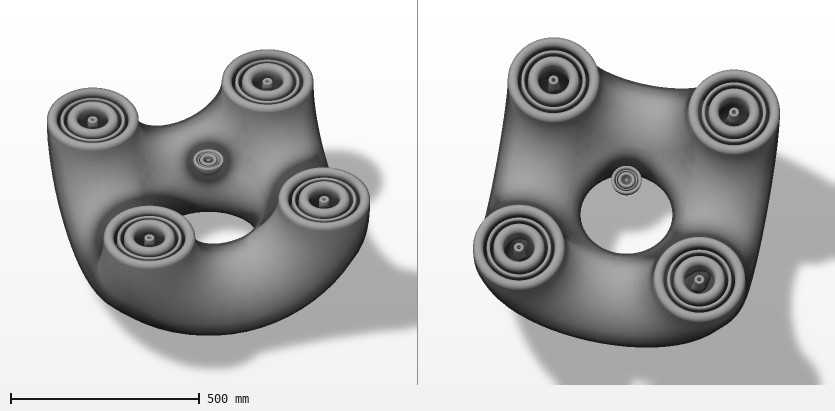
import cadquery as cq
import math


RING_RADIUS = 243.0
SPHERE_RADIUS = RING_RADIUS * math.sqrt(2)
BOWL_SCALE = 1 / 3
LEG_COUNT = 4
LEG_PITCH = 360 / LEG_COUNT
SEWING_TOLERANCE = 1e-3

THICK_WALL = RING_RADIUS / 9
THIN_WALL = THICK_WALL / 3
WIRE_RADIUS = THIN_WALL / 6

OUTER_SKIN = (4 * THICK_WALL, THICK_WALL)
LINER_SKIN = (3 * THICK_WALL, THIN_WALL)
INNER_SKIN = (2 * THICK_WALL, THICK_WALL)
CORE_SKIN = (THIN_WALL, THIN_WALL)
SKINS = (OUTER_SKIN, LINER_SKIN, INNER_SKIN, CORE_SKIN)

COS_45 = math.sqrt(0.5)
ORIGIN = cq.Vector(0, 0, 0)
X_AXIS = cq.Vector(1, 0, 0)
Y_AXIS = cq.Vector(0, 1, 0)
UP = cq.Vector(0, 0, 1)
CORNER_AXIS = cq.Vector(1, 1, -1)
LEG_CENTRE = cq.Vector(RING_RADIUS, RING_RADIUS, 0)
OUTWARD = cq.Vector(COS_45, COS_45, 0)
SIDEWAYS = cq.Vector(COS_45, -COS_45, 0)

shapes = cq.occ_impl.shapes


def around_legs(faces):
    """Copies of the faces of one leg at all four legs."""
    return [face.rotate(ORIGIN, UP, leg * LEG_PITCH) for leg in range(LEG_COUNT) for face in faces]


def ring_surface(tube_radius, turn):
    """Half tube that faces the +X opening, swept from the leg through the given turn."""
    half_section = cq.Edge.makeThreePointArc(
        LEG_CENTRE - OUTWARD * tube_radius,
        LEG_CENTRE + SIDEWAYS * tube_radius,
        LEG_CENTRE + OUTWARD * tube_radius,
    )
    return shapes.revolve(half_section, ORIGIN, X_AXIS, -turn)


def corner_web(radius):
    """Spherical triangle between the three rings of a corner."""
    reach = radius * COS_45
    side = cq.Edge.makeThreePointArc(
        cq.Vector(reach, 0, -reach),
        cq.Vector(reach, reach * COS_45, -reach * COS_45),
        cq.Vector(reach, reach, 0),
    )
    sides = [side.rotate(ORIGIN, CORNER_AXIS, angle) for angle in (0, 120, 240)]
    sphere = cq.Solid.makeSphere(radius, ORIGIN, UP, -90, 90, 360).Faces()[0]
    return cq.Face.constructOn(sphere, cq.Wire.assembleEdges(sides))


def tube_surface(tube_radius):
    """All faces at one radius from the tube centrelines, open on top of the legs."""
    bottom_ring = ring_surface(tube_radius, 360).rotate(ORIGIN, Y_AXIS, 90)
    side_ring = ring_surface(tube_radius, 180)
    inner_web = corner_web(SPHERE_RADIUS - tube_radius)
    outer_web = corner_web(SPHERE_RADIUS + tube_radius)
    return [bottom_ring, *around_legs([side_ring, inner_web, outer_web])]


def rounded_end(middle_radius, reach):
    """Quarter round on top of a leg, from a crest at middle_radius out (or in, if negative) by reach."""
    middle = LEG_CENTRE + OUTWARD * middle_radius
    height = abs(reach)
    section = cq.Edge.makeThreePointArc(
        middle + OUTWARD * reach,
        middle + OUTWARD * (reach * COS_45) + UP * (height * COS_45),
        middle + UP * height,
    )
    return shapes.revolve(section, LEG_CENTRE, UP, 360)


def sewn_solid(faces):
    return shapes.solid(shapes.shell(*faces, tol=SEWING_TOLERANCE))


def frame_skin(middle_radius, thickness):
    """One skin of the frame: its inner and outer tube surfaces, joined by a round rim on every leg."""
    half = thickness / 2
    rim = [rounded_end(middle_radius, -half), rounded_end(middle_radius, half)]
    inner_surface = tube_surface(middle_radius - half)
    outer_surface = tube_surface(middle_radius + half)
    return sewn_solid(inner_surface + outer_surface + around_legs(rim))


def frame_wire(radius):
    """Solid wire along the tube centrelines, with a dome on every leg."""
    return sewn_solid(tube_surface(radius) + around_legs([rounded_end(0, radius)]))


def bowl(middle_radius, thickness):
    """Hemispherical bowl with a round rim that rises above Z = 0."""
    half = thickness / 2
    inner = middle_radius - half
    outer = middle_radius + half
    rim_offset = half * COS_45
    return (
        cq.Workplane("XZ")
        .moveTo(0, -outer)
        .threePointArc((outer * COS_45, -outer * COS_45), (outer, 0))
        .threePointArc((middle_radius + rim_offset, rim_offset), (middle_radius, half))
        .threePointArc((middle_radius - rim_offset, rim_offset), (inner, 0))
        .threePointArc((inner * COS_45, -inner * COS_45), (0, -inner))
        .close()
        .revolve(360, (0, 0, 0), (0, 1, 0), clean=False)
    )


frame_skins = [frame_skin(middle, thickness) for middle, thickness in SKINS]
wire = frame_wire(WIRE_RADIUS)
bowls = [bowl(middle * BOWL_SCALE, thickness * BOWL_SCALE).val() for middle, thickness in SKINS]
bead = cq.Workplane("XY").sphere(WIRE_RADIUS * BOWL_SCALE)

result = cq.Compound.makeCompound([*frame_skins, wire, *bowls, bead.val()])